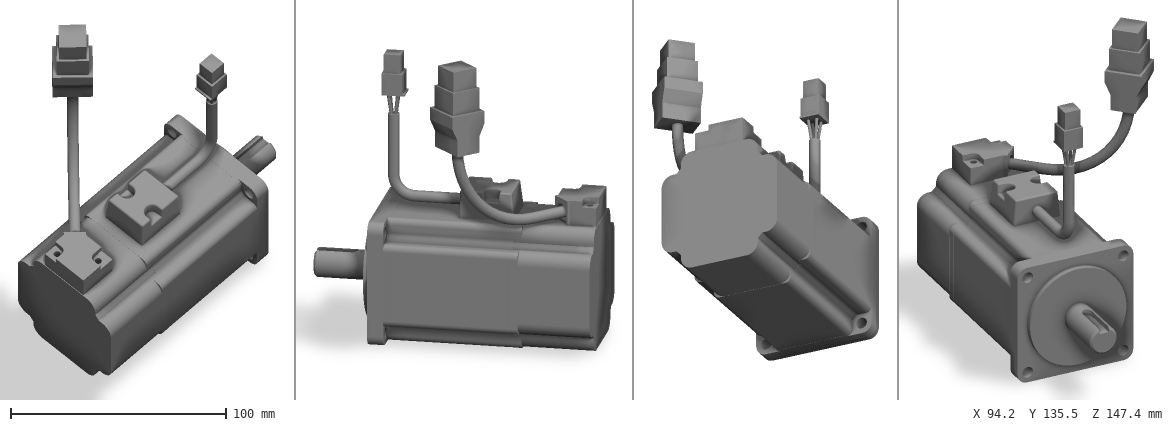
import cadquery as cq
import math


overall_height = 147.4
overall_length = 135.5
frame_width = 60.0
frame_half = frame_width / 2
frame_bottom = -frame_half
frame_top = frame_half

housing_end = 33.9
rear_ring_start = 34.2
rear_ring_end = 38.0
stator_end = 96.8
front_ring_end = 97.9
flange_front = 105.4
pilot_front = 108.3

relief_depth = 10.0
relief_chamfer = 2.4
housing_lobe_radius = 5.9
ring_lobe_radius = 3.0
stator_relief_chamfer = 2.5
stator_relief_fillet = 1.9
stator_inset = 0.07

flange_corner_radius = 5.0
mount_hole_offset = 24.8
mount_hole_diameter = 5.5
pilot_diameter = 50.0
shaft_diameter = 14.0
shaft_chamfer = 1.0
keyway_width = 5.0
keyway_length = 20.0
keyway_depth = 3.0

block_height = 13.0
block_half_width_base = 12.1
block_half_width_top = 10.9
block_rear_base = 39.3
block_rear_top = 40.8
block_front_base = 65.5
block_front_top = 65.1
block_edge_fillet = 0.9
recess_depth = 4.7
recess_floor_radius = 3.1
recess_taper = 8.0
recess_center_x = 8.1
recess_center_y = 50.3

box_height = 12.0
box_left = -12.7
box_right = 12.0
box_rear = 0.3
box_front = 19.7
exit_x = -10.0
exit_y = 17.4
exit_half_length = 5.2
ear_depth = 3.0
ear_radius = 3.0
ear_hole_diameter = 3.2
rear_ear_x = -8.7
rear_ear_y = 4.1
front_ear_x = 7.8
front_ear_y = 14.6
exit_recess_width = 8.1
exit_recess_sill = 1.3
exit_recess_depth = 8.8
exit_sill_setback = 1.3

cable_diameter = 5.3
cable_axis_z = frame_top + 5.3
power_cable_x = 0.0
power_straight = 24.3
power_bend_radius = 10.0
power_cable_top = 75.2
encoder_straight = 16.2
encoder_bend_radius = 42.0

wire_diameter = 1.5
wire_spread_bottom = 1.0
wire_spread_top = 2.2
power_plug_bottom = 85.2
power_body_width = 9.9
power_body_height = 10.6
power_tip_width = 8.0
power_tip_height = 9.1
lip_height = 0.9
lip_reach = 1.0

plug_tip_width = 12.8
plug_tip_height = 9.7
plug_middle_width = 15.0
plug_middle_height = 11.0
plug_head_width = 18.0
plug_head_height = 5.9
plug_taper_height = 6.2
plug_neck_width = 12.1
plug_neck_height = 7.8
plug_depth = 18.9


def prism_along_y(outline, y_start, y_end):
    """Extrude an outline drawn on the XZ plane from y_start to y_end."""
    return outline.extrude(y_start - y_end).translate((0, y_start, 0))


def relieved_section(y_start, y_end, lobe_radius, chamfer, inner_fillet=0.0, inset=0.0):
    """Square section with a chamfered notch at each corner and rounded lobes beside it."""
    inner = frame_half - relief_depth
    outer = frame_half - inset
    corner = [
        (outer, inner),
        (inner + chamfer, inner),
        (inner, inner + chamfer),
        (inner, outer),
    ]
    points = []
    for cosine, sine in ((1, 0), (0, 1), (-1, 0), (0, -1)):
        for px, pz in corner:
            points.append((px * cosine - pz * sine, px * sine + pz * cosine))
    section = prism_along_y(cq.Workplane("XZ").polyline(points).close(), y_start, y_end)

    def distance_from_axis_planes(edge):
        center = edge.Center()
        return max(abs(center.x), abs(center.z))

    lobe_start = (inner + chamfer + outer) / 2
    section = section.edges("|Y").filter(lambda e: distance_from_axis_planes(e) > lobe_start)
    section = section.fillet(lobe_radius)
    if inner_fillet:
        notch_end = inner + chamfer + inner_fillet / 2
        section = section.edges("|Y").filter(lambda e: distance_from_axis_planes(e) < notch_end)
        section = section.fillet(inner_fillet)
    return section


def make_motor_body():
    housing = relieved_section(0, housing_end, housing_lobe_radius, relief_chamfer)
    rear_ring = relieved_section(rear_ring_start, rear_ring_end, ring_lobe_radius, relief_chamfer)
    front_ring = relieved_section(stator_end, front_ring_end, ring_lobe_radius, relief_chamfer)
    groove = relieved_section(
        housing_end, rear_ring_start, housing_lobe_radius, relief_chamfer, inset=stator_inset
    )
    stator = relieved_section(
        rear_ring_end,
        stator_end,
        ring_lobe_radius,
        stator_relief_chamfer,
        stator_relief_fillet,
        stator_inset,
    )
    return housing.union(groove).union(rear_ring).union(stator).union(front_ring)


def make_flange():
    plate = prism_along_y(cq.Workplane("XZ").rect(frame_width, frame_width), front_ring_end, flange_front)
    plate = plate.edges("|Y").fillet(flange_corner_radius)
    spacing = 2 * mount_hole_offset
    plate = plate.faces(">Y").workplane(origin=(0, flange_front, 0))
    plate = plate.rect(spacing, spacing, forConstruction=True).vertices().hole(mount_hole_diameter)
    pilot = prism_along_y(cq.Workplane("XZ").circle(pilot_diameter / 2), flange_front, pilot_front)
    return plate.union(pilot)


def make_shaft():
    shaft = prism_along_y(cq.Workplane("XZ").circle(shaft_diameter / 2), pilot_front, overall_length)
    shaft = shaft.faces(">Y").chamfer(shaft_chamfer)
    half_width = keyway_width / 2
    round_center_y = overall_length - keyway_length + half_width
    keyway = (
        cq.Workplane("XY", origin=(0, 0, shaft_diameter / 2 - keyway_depth))
        .moveTo(-half_width, overall_length)
        .lineTo(-half_width, round_center_y)
        .threePointArc((0, round_center_y - half_width), (half_width, round_center_y))
        .lineTo(half_width, overall_length)
        .close()
        .extrude(shaft_diameter)
    )
    return shaft.cut(keyway)


def make_power_block():
    def rectangle(half_width, rear, front, height):
        plane = cq.Workplane("XY", origin=(0, (rear + front) / 2, frame_top + height))
        return plane.rect(2 * half_width, front - rear)

    base = rectangle(block_half_width_base, block_rear_base, block_front_base, -stator_inset)
    top = rectangle(block_half_width_top, block_rear_top, block_front_top, block_height)
    block = cq.Workplane(cq.Solid.makeLoft([base.wire().val(), top.wire().val()], True))
    floor_z = frame_top + block_height - recess_depth
    for side in (-1, 1):
        recess = (
            cq.Workplane("XY", origin=(side * recess_center_x, recess_center_y, floor_z))
            .moveTo(side * block_half_width_base, recess_floor_radius)
            .lineTo(0, recess_floor_radius)
            .threePointArc((-side * recess_floor_radius, 0), (0, -recess_floor_radius))
            .lineTo(side * block_half_width_base, -recess_floor_radius)
            .close()
            .extrude(recess_depth, taper=-recess_taper)
        )
        block = block.cut(recess)

    def is_rounded(edge):
        extent = edge.BoundingBox()
        on_base = extent.zmax < floor_z - block_edge_fillet
        on_top = extent.zmin > floor_z + block_edge_fillet
        on_side = abs(edge.Center().x) > block_half_width_top - block_edge_fillet / 2
        return on_top or (on_side and not on_base)

    return block.edges().filter(is_rounded).fillet(block_edge_fillet)


def make_encoder_box():
    reach = exit_half_length / math.sqrt(2)
    pad_left = (exit_x - reach, exit_y - reach)
    pad_front = (exit_x + reach, exit_y + reach)
    outline = [
        (box_left, box_rear),
        (box_right, box_rear),
        (box_right, box_front),
        (sum(pad_front) - box_front, box_front),
        pad_front,
        pad_left,
        (box_left, sum(pad_left) - box_left),
    ]
    box = cq.Workplane("XY", origin=(0, 0, frame_top)).polyline(outline).close().extrude(box_height)

    for x, y, outward in ((rear_ear_x, rear_ear_y, -1), (front_ear_x, front_ear_y, 1)):
        box = box.cut(make_ear_recess(x, y, outward))

    return box.cut(make_exit_recess())


def make_ear_recess(x, y, outward):
    """Corner pocket open to both outer sides, with a screw hole down through the box."""
    size = (box_right - box_left) / 2
    pocket = (
        cq.Workplane("XY", origin=(x, y, frame_top + box_height - ear_depth))
        .center(outward * (size / 2 - ear_radius), outward * (size / 2 - ear_radius))
        .rect(size, size)
        .extrude(ear_depth)
    )
    inner_corner = "<X and <Y" if outward > 0 else ">X and >Y"
    pocket = pocket.edges("|Z").edges(inner_corner).fillet(ear_radius)
    hole = cq.Workplane("XY", origin=(x, y, frame_top)).circle(ear_hole_diameter / 2).extrude(box_height)
    return pocket.union(hole)


def make_exit_recess():
    """Arched recess around the cable, above a sill set back from the exit pad."""
    half_width = exit_recess_width / 2
    arch_z = cable_axis_z - frame_top
    plane = cq.Plane(origin=(exit_x, exit_y, frame_top), xDir=(-1, -1, 0), normal=(-1, 1, 0))
    arch = (
        cq.Workplane(plane)
        .moveTo(-half_width, exit_recess_sill)
        .lineTo(half_width, exit_recess_sill)
        .lineTo(half_width, arch_z)
        .threePointArc((0, arch_z + half_width), (-half_width, arch_z))
        .close()
        .extrude(-exit_recess_depth)
    )
    sill_front = (
        cq.Workplane(plane)
        .center(0, exit_recess_sill / 2)
        .rect(exit_recess_width, exit_recess_sill)
        .extrude(-exit_sill_setback)
    )
    return arch.union(sill_front)


def make_cable(start, heading, straight, bend_radius, rise):
    """Round cable running level along heading, then bending up and rising vertically."""
    normal = cq.Vector(*heading).cross(cq.Vector(0, 0, 1))
    path = (
        cq.Workplane(cq.Plane(origin=start, xDir=heading, normal=normal))
        .lineTo(straight, 0)
        .radiusArc((straight + bend_radius, bend_radius), -bend_radius)
    )
    if rise > 0:
        path = path.lineTo(straight + bend_radius, bend_radius + rise)
    section = cq.Workplane(cq.Plane(origin=start, normal=heading)).circle(cable_diameter / 2)
    return section.sweep(path)


def make_power_lead():
    start_y = block_front_top - block_edge_fillet
    rise = power_cable_top - cable_axis_z - power_bend_radius
    cable = make_cable(
        (power_cable_x, start_y, cable_axis_z), (0, 1, 0), power_straight, power_bend_radius, rise
    )
    plug_y = start_y + power_straight + power_bend_radius
    lead = cable.union(make_power_plug().translate((power_cable_x, plug_y, 0)))
    for side_x in (-1, 1):
        for side_y in (-1, 1):
            wire = make_wire(side_x, side_y).translate((power_cable_x, plug_y, 0))
            lead = lead.union(wire)
    return lead


def make_wire(side_x, side_y):
    """Thin wire fanning out from the cable end into the plug."""
    spread = wire_spread_top - wire_spread_bottom
    direction = cq.Vector(side_x * spread, side_y * spread, power_plug_bottom - power_cable_top)
    base = cq.Vector(side_x * wire_spread_bottom, side_y * wire_spread_bottom, power_cable_top)
    overlap = direction.normalized() * (wire_diameter / 2)
    length = direction.Length + wire_diameter
    return cq.Workplane(cq.Solid.makeCylinder(wire_diameter / 2, length, base - overlap, direction))


def make_power_plug():
    body = cq.Workplane("XY", origin=(0, 0, power_plug_bottom)).rect(power_body_width, power_body_width)
    plug = body.extrude(power_body_height)
    plug = plug.faces(">Z").workplane().rect(power_tip_width, power_tip_width).extrude(power_tip_height)
    lip = (
        cq.Workplane("XY", origin=(0, -lip_reach / 2, power_plug_bottom))
        .rect(power_body_width, power_body_width + lip_reach)
        .extrude(lip_height)
    )
    return plug.union(lip)


def make_encoder_lead():
    into_box = exit_recess_depth / math.sqrt(2)
    start = (exit_x + into_box, exit_y - into_box, cable_axis_z)
    straight = exit_recess_depth + encoder_straight
    cable = make_cable(start, (-1, 1, 0), straight, encoder_bend_radius, 0)
    run = (encoder_straight + encoder_bend_radius) / math.sqrt(2)
    return cable.union(make_encoder_plug().translate((exit_x - run, exit_y + run, 0)))


def make_encoder_plug():
    tip_z = frame_bottom + overall_height - plug_tip_height
    middle_z = tip_z - plug_middle_height
    head_z = middle_z - plug_head_height
    neck_z = head_z - plug_taper_height
    bottom_z = neck_z - plug_neck_height
    right_side = [
        (plug_neck_width / 2, bottom_z),
        (plug_neck_width / 2, neck_z),
        (plug_head_width / 2, head_z),
        (plug_head_width / 2, middle_z),
    ]
    left_side = [(-x, z) for x, z in reversed(right_side)]
    lower = cq.Workplane("XZ").polyline(right_side + left_side).close().extrude(plug_depth / 2, both=True)
    middle = (
        cq.Workplane("XY", origin=(0, 0, middle_z))
        .rect(plug_middle_width, plug_middle_width)
        .extrude(plug_middle_height)
    )
    tip = (
        cq.Workplane("XY", origin=(0, 0, tip_z))
        .rect(plug_tip_width, plug_tip_width)
        .extrude(plug_tip_height)
    )
    return lower.union(middle).union(tip).rotate((0, 0, 0), (0, 0, 1), -45)


result = (
    make_motor_body()
    .union(make_flange())
    .union(make_shaft())
    .union(make_power_block())
    .union(make_encoder_box())
    .union(make_power_lead())
    .union(make_encoder_lead())
)